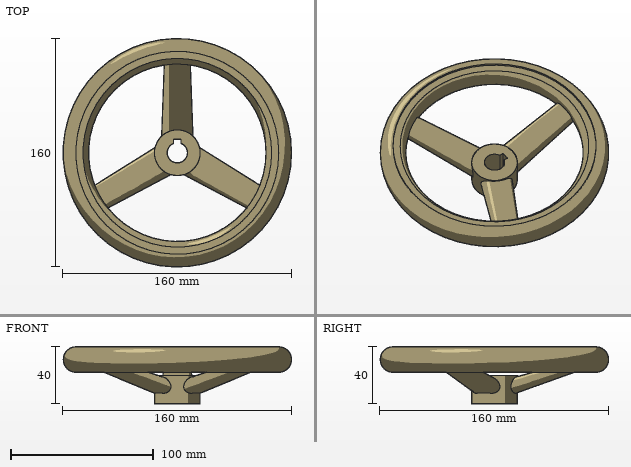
import cadquery as cq
import math

wheel_radius = 80.0
rim_section_radius = 9.0
wheel_height = 40.0
rim_step_depth = 1.5
rim_center_radius = wheel_radius - rim_section_radius
rim_center_height = wheel_height - rim_section_radius

hub_radius = 16.0
hub_height = 20.0
bore_radius = 7.0
keyway_width = 5.0
keyway_reach = 9.3

spoke_count = 3
first_spoke_angle = 90.0
spoke_flat_width = 11.0
spoke_hub_radius = 6.0
spoke_taper = 2.0
spoke_start_height = 8.4


def make_rim():
    """Ring of revolution whose inner top is flattened below the outer crown."""
    step_rise = rim_section_radius - rim_step_depth
    step_inner_radius = rim_center_radius - math.sqrt(rim_section_radius**2 - step_rise**2)
    step_height = rim_center_height + step_rise
    profile = (
        cq.Workplane("XZ")
        .moveTo(rim_center_radius, wheel_height)
        .threePointArc(
            (wheel_radius, rim_center_height),
            (rim_center_radius, rim_center_height - rim_section_radius),
        )
        .threePointArc(
            (rim_center_radius - rim_section_radius, rim_center_height),
            (step_inner_radius, step_height),
        )
        .lineTo(rim_center_radius, step_height)
        .close()
    )
    return profile.revolve(360, (0, 0, 0), (0, 1, 0))


def make_hub():
    return cq.Workplane("XY").circle(hub_radius).extrude(hub_height)


def make_spoke():
    """Spoke along +X, lofted between two slot sections square to its centerline."""
    rise = rim_center_height - spoke_start_height
    length = math.hypot(rim_center_radius, rise)
    rim_end_radius = spoke_hub_radius - length * math.tan(math.radians(spoke_taper))
    section_plane = cq.Plane(
        origin=(0, 0, spoke_start_height),
        xDir=(0, 1, 0),
        normal=(rim_center_radius, 0, rise),
    )
    return (
        cq.Workplane(section_plane)
        .slot2D(spoke_flat_width + 2 * spoke_hub_radius, 2 * spoke_hub_radius)
        .workplane(offset=length)
        .slot2D(spoke_flat_width + 2 * rim_end_radius, 2 * rim_end_radius)
        .loft(ruled=True)
    )


def make_bore():
    """Through bore with a keyway on its +Y side."""
    bore = cq.Workplane("XY").circle(bore_radius).extrude(hub_height)
    keyway = (
        cq.Workplane("XY")
        .center(0, keyway_reach / 2)
        .rect(keyway_width, keyway_reach)
        .extrude(hub_height)
    )
    return bore.union(keyway)


result = make_rim().union(make_hub())
spoke = make_spoke()
for index in range(spoke_count):
    angle = first_spoke_angle + index * 360.0 / spoke_count
    result = result.union(spoke.rotate((0, 0, 0), (0, 0, 1), angle))
result = result.cut(make_bore())